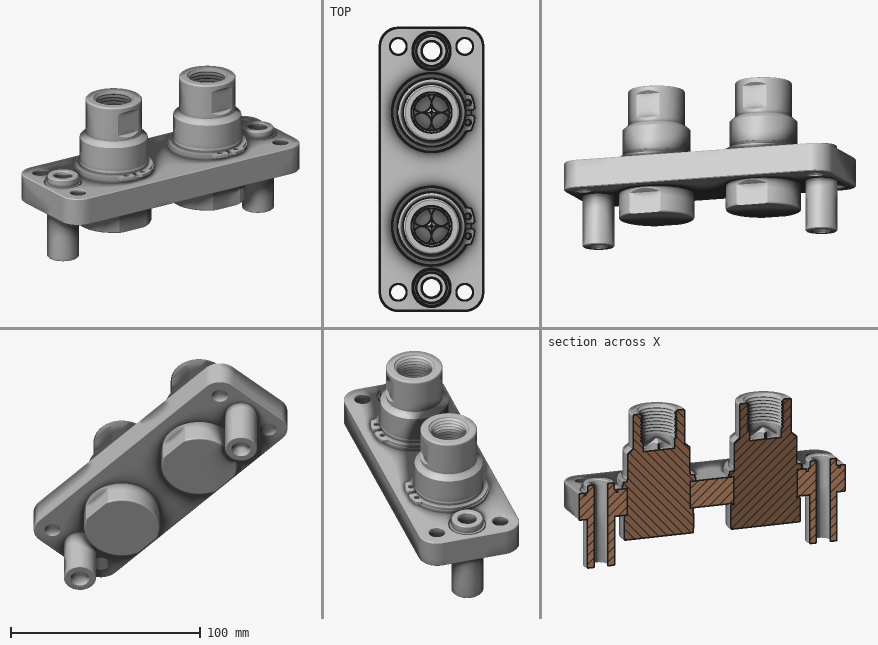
import cadquery as cq
import math

PLATE_LENGTH = 150.0
PLATE_WIDTH = 55.0
PLATE_THICKNESS = 15.0
PLATE_CORNER_RADIUS = 10.0
PLATE_EDGE_CHAMFER = 0.5
MOUNTING_HOLE_DIAMETER = 8.5
MOUNTING_HOLE_CHAMFER = 0.3
MOUNTING_HOLE_X = 17.5
MOUNTING_HOLE_Y = 65.0

SLEEVE_Y = 62.5
SLEEVE_BOTTOM = -27.0
SLEEVE_TOP = 18.9
SLEEVE_LOWER_DIAMETER = 17.0
SLEEVE_UPPER_DIAMETER = 16.5
SLEEVE_FLANGE_DIAMETER = 18.8
SLEEVE_BORE_DIAMETER = 10.0
SLEEVE_CHAMFER = 0.5
RELIEF_DIAMETER = 20.0
RELIEF_DEPTH = 1.5
RELIEF_CHAMFER = 0.3

COUPLING_Y = 30.0
COUPLING_DROP = 0.5
BODY_DIAMETER = 36.0
BODY_BOTTOM = 20.7
COLLAR_DIAMETER = 36.3
COLLAR_CHAMFER_RISE = 0.9
COLLAR_CHAMFER_RUN = 0.5
SHOULDER_BOTTOM = 33.8
SHOULDER_TOP = 36.5
NECK_DIAMETER = 30.0
NECK_TOP = 55.4
NECK_FILLET = 1.0
NECK_FLAT_SPACING = 27.0
NECK_FLAT_BOTTOM = 39.5
NECK_FLAT_TOP = 51.3
BASE_DIAMETER = 39.9
BASE_BOTTOM = -13.8
BASE_TOP_CHAMFER = 0.6
BASE_BOTTOM_FILLET = 0.9
BASE_FLAT_SPACING = 36.0
BASE_FLAT_TOP = -2.7

WASHER_DIAMETER = 42.2
RING_DIAMETER = 41.1
RING_BOTTOM = 17.1
RING_THICKNESS = 1.5
RING_GAP = 2.7
LUG_ROOT_X = 18.5
LUG_ROOT_Y = 10.0
LUG_SHOULDER_X = 21.0
LUG_SHOULDER_Y = 9.3
LUG_TIP_RADIUS = 23.0
LUG_TIP_CHAMFER = 1.0
LUG_HOLE_DIAMETER = 3.2
LUG_HOLE_X = 19.4
LUG_HOLE_Y = 5.2

THREAD_MINOR_DIAMETER = 19.0
THREAD_MAJOR_DIAMETER = 21.2
THREAD_PITCH = 1.8
THREAD_CREST = 0.3
THREAD_GROOVES = 9
PORT_MOUTH_DIAMETER = 21.6
PORT_MOUTH_CHAMFER = 0.6
PORT_FLOOR_DIAMETER = 18.8
PORT_DEPTH = 21.0
CORE_CONE_HEIGHT = 3.8
CORE_PYRAMID_HEIGHT = 5.2
CORE_PYRAMID_DIAGONAL = 16.5
CORE_TIP_DIAGONAL = 1.5
CORE_POCKETS = 4
CORE_POCKET_OFFSET = 5.1
CORE_POCKET_RADIUS = 5.0


def cylinder(diameter, bottom, top, x=0.0, y=0.0):
    """Upright cylinder between two heights."""
    return cq.Workplane("XY", origin=(x, y, bottom)).circle(diameter / 2).extrude(top - bottom)


def revolved(profile):
    """Solid of revolution about Z from (radius, height) points."""
    return cq.Workplane("XZ").polyline(profile).close().revolve(360, (0, 0), (0, 1))


def sleeve_outside():
    """Guide sleeve without its bore, with a flange flush with the plate top."""
    lower = cylinder(SLEEVE_LOWER_DIAMETER, SLEEVE_BOTTOM, 0).faces("<Z").chamfer(SLEEVE_CHAMFER)
    flange = cylinder(SLEEVE_FLANGE_DIAMETER, 0, PLATE_THICKNESS)
    upper = cylinder(SLEEVE_UPPER_DIAMETER, 0, SLEEVE_TOP).faces(">Z").chamfer(SLEEVE_CHAMFER)
    return lower.union(flange).union(upper)


def sleeve_bore():
    """Through bore with a chamfered mouth."""
    radius = SLEEVE_BORE_DIAMETER / 2
    return revolved([
        (0, SLEEVE_BOTTOM),
        (radius, SLEEVE_BOTTOM),
        (radius, SLEEVE_TOP - SLEEVE_CHAMFER),
        (radius + SLEEVE_CHAMFER, SLEEVE_TOP),
        (0, SLEEVE_TOP),
    ])


def make_plate():
    """Plate with mounting holes, coupling holes and two guide sleeves."""
    plate = (
        cq.Workplane("XY")
        .rect(PLATE_WIDTH, PLATE_LENGTH)
        .extrude(PLATE_THICKNESS)
        .edges("|Z").fillet(PLATE_CORNER_RADIUS)
        .faces("<Z or >Z").chamfer(PLATE_EDGE_CHAMFER)
    )
    plate = (
        plate.faces(">Z").workplane(origin=(0, 0, PLATE_THICKNESS))
        .rect(2 * MOUNTING_HOLE_X, 2 * MOUNTING_HOLE_Y, forConstruction=True)
        .vertices()
        .cskHole(MOUNTING_HOLE_DIAMETER, MOUNTING_HOLE_DIAMETER + 2 * MOUNTING_HOLE_CHAMFER, 90)
    )
    for side in (-1, 1):
        plate = plate.cut(cylinder(BODY_DIAMETER, 0, PLATE_THICKNESS, y=side * COUPLING_Y))
        relief_floor = PLATE_THICKNESS - RELIEF_DEPTH
        relief = revolved([
            (0, relief_floor),
            (RELIEF_DIAMETER / 2, relief_floor),
            (RELIEF_DIAMETER / 2, PLATE_THICKNESS - RELIEF_CHAMFER),
            (RELIEF_DIAMETER / 2 + RELIEF_CHAMFER, PLATE_THICKNESS),
            (0, PLATE_THICKNESS),
        ])
        place = (0, side * SLEEVE_Y, 0)
        plate = plate.cut(relief.translate(place))
        plate = plate.union(sleeve_outside().translate(place))
        plate = plate.cut(sleeve_bore().translate(place))
    return plate


def coupling_outside(drop):
    """Turned shape of a coupling; the washer stays on the plate when the coupling hangs lower."""
    base = BASE_DIAMETER / 2
    body = BODY_DIAMETER / 2
    collar = COLLAR_DIAMETER / 2
    washer = WASHER_DIAMETER / 2
    neck = NECK_DIAMETER / 2
    washer_bottom = PLATE_THICKNESS + drop
    turned = revolved([
        (0, BASE_BOTTOM),
        (base, BASE_BOTTOM),
        (base, -BASE_TOP_CHAMFER),
        (base - BASE_TOP_CHAMFER, 0),
        (body, 0),
        (body, washer_bottom),
        (washer, washer_bottom),
        (washer, RING_BOTTOM),
        (collar, RING_BOTTOM),
        (collar, BODY_BOTTOM - COLLAR_CHAMFER_RISE),
        (collar - COLLAR_CHAMFER_RUN, BODY_BOTTOM),
        (body, BODY_BOTTOM),
        (body, SHOULDER_BOTTOM),
        (neck, SHOULDER_TOP),
        (neck, NECK_TOP),
        (0, NECK_TOP),
    ])
    return turned.faces(">Z").edges().fillet(NECK_FILLET).faces("<Z").edges().fillet(BASE_BOTTOM_FILLET)


def flat_cut(side, spacing, outer_diameter, ends):
    """Prism that cuts one wrench flat; each end is (height at the flat, height at the outside)."""
    (bottom_in, bottom_out), (top_in, top_out) = ends
    inner = side * spacing / 2
    outer = side * outer_diameter / 2
    return (
        cq.Workplane("XZ")
        .polyline([(inner, bottom_in), (outer, bottom_out), (outer, top_out), (inner, top_in)])
        .close()
        .extrude(outer_diameter / 2, both=True)
    )


def wrench_flats():
    """Flats across the neck and the base, with 45 degree ends."""
    neck_run = (NECK_DIAMETER - NECK_FLAT_SPACING) / 2
    base_run = (BASE_DIAMETER - BASE_FLAT_SPACING) / 2
    neck_ends = (
        (NECK_FLAT_BOTTOM, NECK_FLAT_BOTTOM - neck_run),
        (NECK_FLAT_TOP, NECK_FLAT_TOP + neck_run),
    )
    base_ends = ((BASE_BOTTOM, BASE_BOTTOM), (BASE_FLAT_TOP, BASE_FLAT_TOP + base_run))
    flats = cq.Workplane("XY")
    for side in (-1, 1):
        flats = flats.add(flat_cut(side, NECK_FLAT_SPACING, NECK_DIAMETER, neck_ends))
        flats = flats.add(flat_cut(side, BASE_FLAT_SPACING, BASE_DIAMETER, base_ends))
    return flats.vals()


def retaining_ring():
    """Ring with a gap on +X between two lugs, each with a pliers hole."""
    gap_edge = RING_GAP / 2
    ring_top = RING_BOTTOM + RING_THICKNESS
    ring = cylinder(RING_DIAMETER, RING_BOTTOM, ring_top)
    tip_y = gap_edge + LUG_TIP_CHAMFER
    tip_x = math.sqrt(LUG_TIP_RADIUS**2 - tip_y**2)
    tip_angle = math.atan2(tip_y, tip_x)
    shoulder_radius = math.hypot(LUG_SHOULDER_X, LUG_SHOULDER_Y)
    shoulder_angle = math.atan2(LUG_SHOULDER_Y, LUG_SHOULDER_X)
    middle_angle = (tip_angle + shoulder_angle) / 2
    middle_radius = (LUG_TIP_RADIUS + shoulder_radius) / 2
    middle = (middle_radius * math.cos(middle_angle), middle_radius * math.sin(middle_angle))
    lug = (
        cq.Workplane("XY", origin=(0, 0, RING_BOTTOM))
        .moveTo(0, gap_edge)
        .lineTo(tip_x - LUG_TIP_CHAMFER, gap_edge)
        .lineTo(tip_x, tip_y)
        .threePointArc(middle, (LUG_SHOULDER_X, LUG_SHOULDER_Y))
        .lineTo(LUG_ROOT_X, LUG_ROOT_Y)
        .close()
        .extrude(RING_THICKNESS)
    )
    gap = cq.Workplane("XY", origin=(0, 0, RING_BOTTOM)).box(
        LUG_TIP_RADIUS, RING_GAP, RING_THICKNESS, centered=(False, True, False)
    )
    ring = ring.union(lug).union(lug.mirror("XZ")).cut(gap)
    for side in (-1, 1):
        hole = cylinder(LUG_HOLE_DIAMETER, RING_BOTTOM, ring_top, LUG_HOLE_X, side * LUG_HOLE_Y)
        ring = ring.cut(hole)
    return ring


def port():
    """Port cavity: chamfered mouth, ring-shaped thread grooves and a pointed core between pockets."""
    minor = THREAD_MINOR_DIAMETER / 2
    major = THREAD_MAJOR_DIAMETER / 2
    mouth = PORT_MOUTH_DIAMETER / 2
    floor = NECK_TOP - PORT_DEPTH
    core = PORT_FLOOR_DIAMETER / 2
    first_root = NECK_TOP - PORT_MOUTH_CHAMFER
    groove_half = (THREAD_PITCH - THREAD_CREST) / 2
    profile = [
        (0, floor + CORE_CONE_HEIGHT),
        (0, NECK_TOP),
        (mouth, NECK_TOP),
        (major, first_root),
        (minor, first_root - groove_half),
    ]
    for groove in range(1, THREAD_GROOVES):
        root = first_root - groove * THREAD_PITCH
        profile += [(minor, root + groove_half), (major, root), (minor, root - groove_half)]
    thread_end = first_root - THREAD_GROOVES * THREAD_PITCH
    profile += [
        (minor, thread_end),
        (core, thread_end),
        (core, floor),
    ]
    pyramid = (
        cq.Workplane("XY", origin=(0, 0, floor))
        .polygon(4, CORE_PYRAMID_DIAGONAL)
        .workplane(offset=CORE_PYRAMID_HEIGHT)
        .polygon(4, CORE_TIP_DIAGONAL)
        .loft()
    )
    pockets = (
        cq.Workplane("XY", origin=(0, 0, floor))
        .polarArray(CORE_POCKET_OFFSET * math.sqrt(2), 45, 360, CORE_POCKETS)
        .circle(CORE_POCKET_RADIUS)
        .extrude(CORE_PYRAMID_HEIGHT)
        .intersect(cylinder(PORT_FLOOR_DIAMETER, floor, NECK_TOP))
    )
    return revolved(profile).cut(pyramid).union(pockets)


def make_coupling(side, drop):
    """One coupling with its washer and retaining ring, on the given side of the plate."""
    coupling = coupling_outside(drop).union(retaining_ring())
    for flat in wrench_flats():
        coupling = coupling.cut(cq.Workplane(flat))
    coupling = coupling.cut(port())
    return coupling.translate((0, side * COUPLING_Y, -drop))


plate = make_plate()
couplings = [make_coupling(side, drop) for side, drop in ((-1, 0.0), (1, COUPLING_DROP))]

result = cq.Compound.makeCompound([plate.val(), *[coupling.val() for coupling in couplings]])